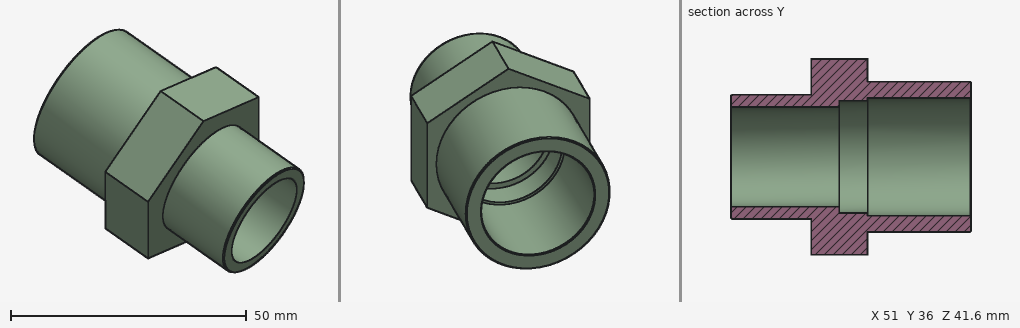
import cadquery as cq
import math

total_length = 51.0
large_length = 22.0
hex_length = 12.0
small_length = total_length - large_length - hex_length

large_diameter = 32.0
small_diameter = 26.4
hex_across_flats = 36.0
hex_across_corners = hex_across_flats / math.cos(math.pi / 6)

wide_bore_diameter = 25.0
wide_bore_depth = large_length
seat_diameter = 23.75
seat_length = hex_length / 2
through_bore_diameter = 21.15

outer_chamfer = 0.25
bore_chamfer = 0.2


def x_cylinder(diameter, start, length):
    return cq.Workplane("YZ", origin=(start, 0, 0)).circle(diameter / 2).extrude(length)


large_spigot = x_cylinder(large_diameter, 0, large_length).faces("<X").chamfer(outer_chamfer)
small_spigot = (
    x_cylinder(small_diameter, total_length - small_length, small_length)
    .faces(">X")
    .chamfer(outer_chamfer)
)
hexagon = (
    cq.Workplane("YZ", origin=(large_length, 0, 0))
    .transformed(rotate=(0, 0, 90))
    .polygon(6, hex_across_corners)
    .extrude(hex_length)
)
body = large_spigot.union(hexagon).union(small_spigot)

wide_bore = x_cylinder(wide_bore_diameter, 0, wide_bore_depth)
seat = x_cylinder(seat_diameter, wide_bore_depth, seat_length)
through_bore = x_cylinder(through_bore_diameter, 0, total_length)
bored = body.cut(wide_bore).cut(seat).cut(through_bore)

mouth_edge = cq.selectors.RadiusNthSelector(0)
result = bored.faces("<X").edges(mouth_edge).chamfer(bore_chamfer)